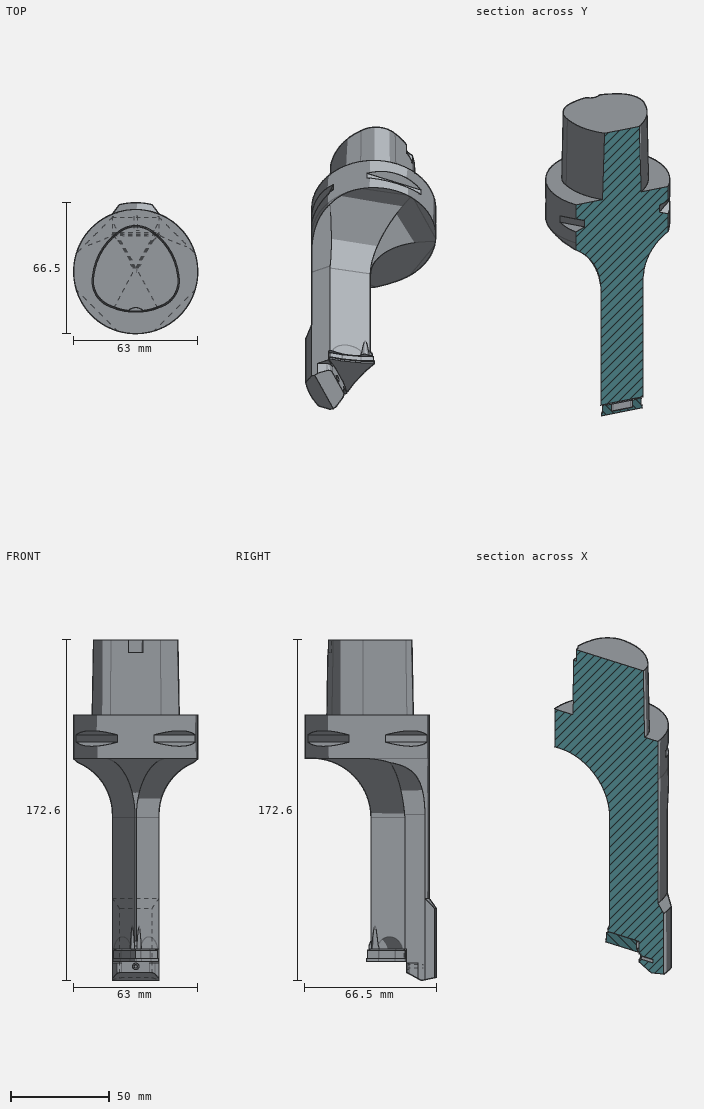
import cadquery as cq
import math


FLANGE_RADIUS = 63 / 2
FLANGE_HEIGHT = 22
TAPER_LENGTH = 38
TAPER_RADIUS = 22
TAPER_ECCENTRICITY = 1.4
FLANK_HALF_SPAN = 25
TAPER_REDUCTION = 0.7
KEYWAY_WIDTH = 7.6
KEYWAY_DEPTH = 1.7
KEYWAY_LENGTH = 6.5
GRIP_SLOT_Z = -12
GRIP_SLOT_FLOOR = 27.8
GRIP_FLOOR_HEIGHT = 3.6
GRIP_WALL_ANGLE = math.radians(30)
GRIP_SLOT_COUNT = 4

SHANK_HALF_WIDTH = 11.85
SHOULDER_Y = 19
RIDGE_Y = 1.8
RIDGE_HALF_WIDTH = 0.3
V_FLARE_RADIUS = 30
SIDE_FLARE_RADIUS = 28.4
SHANK_CORNER_Y = math.sqrt(FLANGE_RADIUS**2 - SHANK_HALF_WIDTH**2)

BOTTOM_Z = TAPER_LENGTH - 172.6
PAD_RADIUS = 35
PAD_HALF_WIDTH = 8.3
PAD_CREST_Y = math.sqrt(PAD_RADIUS**2 - PAD_HALF_WIDTH**2)
PAD_RAMP_START_Z = -93
PAD_RAMP_END_Z = -98
KEEL_Y = 27.4
HEAD_FRONT_BOTTOM_Z = -130.4
HEAD_BACK_BOTTOM_Z = -133
BEVEL_TOP_Z = -125.8
NOZZLE_DIAMETER = 3.3
NOZZLE_DEPTH = 1
NOZZLE_BORE_DIAMETER = 1.7
NOZZLE_BORE_DEPTH = 8
NOZZLE_Z = -127.4

INSERT_TOP_Z = -118.7
INSERT_BOTTOM_Z = -125
LAND_HEIGHT = 1.7
LAND_OVERHANG = 0.4
SEAT_Y = 19.8
INSERT_NOSE_Y = -1.0
INSERT_NOSE_RADIUS = 0.4
INSERT_SIDE_RELIEF = 0.8
INSERT_RELIEF_SPAN = 9.6
INSERT_TOP_CHAMFER = 0.6

V_LENGTH = math.hypot(SHANK_HALF_WIDTH - RIDGE_HALF_WIDTH, SHOULDER_Y - RIDGE_Y)
V_ALONG = ((SHANK_HALF_WIDTH - RIDGE_HALF_WIDTH) / V_LENGTH, (SHOULDER_Y - RIDGE_Y) / V_LENGTH)
V_OUTWARD = (V_ALONG[1], -V_ALONG[0])

SCOOP_Y = 11.3
SCOOP_RADIUS = 8.2
SCOOP_DEPTH = 1.2
SCOOP_TOP_Z = -112.4
NOSE_CONE_TOP_Z = -107
NOSE_CONE_CONTACT_X = 1.7
NOSE_CONE_BASE_RADIUS = 2.95
LIP_TOP_Z = -114.5
LIP_FRONT_Z = -117
LIP_FRONT_Y = 0.8
LIP_WIDTH = 1.2


def cylinder(radius, top, bottom):
    return cq.Workplane("XY").workplane(offset=bottom).circle(radius).extrude(top - bottom)


def polygon_point(degrees, radius, z):
    """Point of a three-lobed curve of constant width where its normal has the given angle."""
    angle = math.radians(degrees)
    phase = 3 * (angle - math.pi / 2)
    support = radius + TAPER_ECCENTRICITY * math.cos(phase)
    slope = -3 * TAPER_ECCENTRICITY * math.sin(phase)
    return cq.Vector(
        support * math.cos(angle) - slope * math.sin(angle),
        support * math.sin(angle) + slope * math.cos(angle),
        z,
    )


def polygon_wire(radius, z):
    """Three flat flank arcs and three tight lobe arcs; one lobe points towards +Y."""
    arcs = []
    for flank in (-90, 30, 150):
        lobe = flank + 60
        for middle, half_span in ((flank, FLANK_HALF_SPAN), (lobe, 60 - FLANK_HALF_SPAN)):
            arcs.append(cq.Edge.makeThreePointArc(
                polygon_point(middle - half_span, radius, z),
                polygon_point(middle, radius, z),
                polygon_point(middle + half_span, radius, z),
            ))
    return cq.Wire.assembleEdges(arcs)


def taper_coupling():
    tip_radius = TAPER_RADIUS - TAPER_REDUCTION
    taper = cq.Workplane(
        cq.Solid.makeLoft([polygon_wire(TAPER_RADIUS, 0), polygon_wire(tip_radius, TAPER_LENGTH)], True)
    )
    keyway_radius = (KEYWAY_WIDTH**2 / 4 + KEYWAY_DEPTH**2) / (2 * KEYWAY_DEPTH)
    keyway_center_y = -(tip_radius - TAPER_ECCENTRICITY) + KEYWAY_DEPTH - keyway_radius
    keyway = cylinder(keyway_radius, TAPER_LENGTH, TAPER_LENGTH - KEYWAY_LENGTH)
    return taper.cut(keyway.translate((0, keyway_center_y, 0)))


def grip_slot():
    """Tangential groove with sloped walls, on the +X side."""
    depth = FLANGE_RADIUS - GRIP_SLOT_FLOOR
    floor_half = GRIP_FLOOR_HEIGHT / 2
    mouth_half = floor_half + depth * math.tan(GRIP_WALL_ANGLE)
    return (
        cq.Workplane("XZ")
        .polyline([
            (GRIP_SLOT_FLOOR, GRIP_SLOT_Z - floor_half),
            (FLANGE_RADIUS, GRIP_SLOT_Z - mouth_half),
            (FLANGE_RADIUS, GRIP_SLOT_Z + mouth_half),
            (GRIP_SLOT_FLOOR, GRIP_SLOT_Z + floor_half),
        ])
        .close()
        .extrude(FLANGE_RADIUS, both=True)
    )


def flange():
    disc = cylinder(FLANGE_RADIUS, 0, -FLANGE_HEIGHT)
    for i in range(GRIP_SLOT_COUNT):
        angle = (i + 0.5) * 360 / GRIP_SLOT_COUNT
        disc = disc.cut(grip_slot().rotate((0, 0, 0), (0, 0, 1), angle))
    return disc


def face_cutter(point, outward, flare_radius):
    """Everything outside one shank face, leaving a concave flare under the flange."""
    reach = 3 * FLANGE_RADIUS
    flare_start_z = -FLANGE_HEIGHT - flare_radius
    diagonal = flare_radius * math.sqrt(0.5)
    plane = cq.Plane(origin=(*point, 0), xDir=(*outward, 0), normal=(outward[1], -outward[0], 0))
    return (
        cq.Workplane(plane)
        .moveTo(0, BOTTOM_Z)
        .lineTo(0, flare_start_z)
        .threePointArc(
            (flare_radius - diagonal, flare_start_z + diagonal),
            (flare_radius, -FLANGE_HEIGHT),
        )
        .lineTo(reach, -FLANGE_HEIGHT)
        .lineTo(reach, BOTTOM_Z)
        .close()
        .extrude(reach, both=True)
    )


def shank():
    stem = cylinder(FLANGE_RADIUS, -FLANGE_HEIGHT, BOTTOM_Z)
    stem = stem.cut(face_cutter((0, RIDGE_Y), (0, -1), V_FLARE_RADIUS))
    for side in (-1, 1):
        shoulder = (side * SHANK_HALF_WIDTH, SHOULDER_Y)
        stem = stem.cut(face_cutter(shoulder, (side * V_OUTWARD[0], V_OUTWARD[1]), V_FLARE_RADIUS))
        stem = stem.cut(face_cutter(shoulder, (side, 0), SIDE_FLARE_RADIUS))
    return stem


def back_pad():
    """Thickened back of the head, with a conical ramp at its upper end."""
    outline = (
        cq.Workplane("XY")
        .workplane(offset=BOTTOM_Z)
        .moveTo(-SHANK_HALF_WIDTH, SHOULDER_Y)
        .lineTo(-SHANK_HALF_WIDTH, SHANK_CORNER_Y)
        .lineTo(-PAD_HALF_WIDTH, PAD_CREST_Y)
        .threePointArc((0, PAD_RADIUS), (PAD_HALF_WIDTH, PAD_CREST_Y))
        .lineTo(SHANK_HALF_WIDTH, SHANK_CORNER_Y)
        .lineTo(SHANK_HALF_WIDTH, SHOULDER_Y)
        .close()
        .extrude(PAD_RAMP_START_Z - BOTTOM_Z)
    )
    ramped_disc = (
        cq.Workplane("XZ")
        .polyline([
            (0, BOTTOM_Z),
            (PAD_RADIUS, BOTTOM_Z),
            (PAD_RADIUS, PAD_RAMP_END_Z),
            (FLANGE_RADIUS, PAD_RAMP_START_Z),
            (0, PAD_RAMP_START_Z),
        ])
        .close()
        .revolve(360, (0, 0), (0, 1))
    )
    return outline.intersect(ramped_disc)


def seat_cutter():
    """Open space for the insert, in front of the seat wall."""
    width = 2 * FLANGE_RADIUS
    return (
        cq.Workplane("XY")
        .box(width, FLANGE_RADIUS, INSERT_TOP_Z - BOTTOM_Z, centered=(True, False, False))
        .translate((0, SEAT_Y - FLANGE_RADIUS, BOTTOM_Z))
    )


def head_bottom_cutter():
    """Space under the two slopes that meet at the keel."""
    below = BOTTOM_Z - 1
    return (
        cq.Workplane("YZ")
        .polyline([
            (SEAT_Y, HEAD_FRONT_BOTTOM_Z),
            (KEEL_Y, BOTTOM_Z),
            (PAD_RADIUS, HEAD_BACK_BOTTOM_Z),
            (PAD_RADIUS, below),
            (SEAT_Y, below),
        ])
        .close()
        .extrude(FLANGE_RADIUS, both=True)
    )


def head_corner_cutter(side):
    """Rounded-off bevel on a front corner of the head, below the insert."""
    front_half_width = 7.1
    round_end_half_width = 9.8
    round_end_y = 21.4
    back_y = 25.8
    clearance = 1
    return (
        cq.Workplane("XY")
        .workplane(offset=BOTTOM_Z)
        .moveTo(0, SEAT_Y)
        .lineTo(side * front_half_width, SEAT_Y)
        .tangentArcPoint((side * round_end_half_width, round_end_y), relative=False)
        .lineTo(side * SHANK_HALF_WIDTH, back_y)
        .lineTo(side * SHANK_HALF_WIDTH, SEAT_Y - clearance)
        .lineTo(0, SEAT_Y - clearance)
        .close()
        .extrude(BEVEL_TOP_Z - BOTTOM_Z)
    )


def scoop(side):
    """Shallow spherical hollow in a V face above the insert."""
    ball_radius = (SCOOP_RADIUS**2 + SCOOP_DEPTH**2) / (2 * SCOOP_DEPTH)
    along = (SCOOP_Y - RIDGE_Y) / V_ALONG[1]
    lift = ball_radius - SCOOP_DEPTH
    center_x = RIDGE_HALF_WIDTH + along * V_ALONG[0] + lift * V_OUTWARD[0]
    center_y = SCOOP_Y + lift * V_OUTWARD[1]
    ball = cq.Workplane("XY").sphere(ball_radius)
    return ball.translate((side * center_x, center_y, SCOOP_TOP_Z - SCOOP_RADIUS))


def nose_cone():
    """Cone that starts tangent to both V faces and swells through them downward."""
    contact_along = (NOSE_CONE_CONTACT_X - RIDGE_HALF_WIDTH) / V_ALONG[0]
    contact_y = RIDGE_Y + contact_along * V_ALONG[1]
    top_radius = NOSE_CONE_CONTACT_X / V_OUTWARD[0]
    center_y = contact_y - top_radius * V_OUTWARD[1]
    height = NOSE_CONE_TOP_Z - INSERT_TOP_Z
    return cq.Workplane(
        cq.Solid.makeCone(NOSE_CONE_BASE_RADIUS, top_radius, height, cq.Vector(0, center_y, INSERT_TOP_Z))
    )


def nose_lip():
    """Small wedge on the ridge that backs the insert nose."""
    root_y = RIDGE_Y + LIP_WIDTH
    return (
        cq.Workplane("YZ")
        .polyline([
            (root_y, LIP_TOP_Z),
            (RIDGE_Y, LIP_TOP_Z),
            (LIP_FRONT_Y, LIP_FRONT_Z),
            (LIP_FRONT_Y, INSERT_TOP_Z),
            (root_y, INSERT_TOP_Z),
        ])
        .close()
        .extrude(LIP_WIDTH / 2, both=True)
    )


def nozzle_hole():
    """Narrow bore with a wider, shallow mouth in the front of the head."""
    return (
        cq.Workplane("XZ", origin=(0, SEAT_Y, NOZZLE_Z))
        .circle(NOZZLE_DIAMETER / 2)
        .extrude(-NOZZLE_DEPTH)
        .circle(NOZZLE_BORE_DIAMETER / 2)
        .extrude(-NOZZLE_BORE_DEPTH)
    )


def make_holder():
    body = shank().union(back_pad())
    for side in (-1, 1):
        body = body.cut(scoop(side))
    body = body.union(nose_cone()).union(nose_lip())
    body = body.cut(seat_cutter()).cut(head_bottom_cutter())
    for side in (-1, 1):
        body = body.cut(head_corner_cutter(side))
    body = body.cut(nozzle_hole())
    return body.union(flange()).union(taper_coupling())


def insert_outline():
    """Equilateral triangle with hollowed sides, its nose towards -Y."""
    height = SEAT_Y - INSERT_NOSE_Y
    side_length = height / math.cos(math.radians(30))
    center_y = SEAT_Y - height / 3
    inner_distance = height / 3 - INSERT_SIDE_RELIEF
    points = []
    for i in range(3):
        turn = math.radians(120 * i)
        for x, y in (
            (-side_length / 2, -height / 3),
            (-INSERT_RELIEF_SPAN / 2, -inner_distance),
            (INSERT_RELIEF_SPAN / 2, -inner_distance),
        ):
            angle = turn + math.pi
            points.append((
                x * math.cos(angle) - y * math.sin(angle),
                center_y + x * math.sin(angle) + y * math.cos(angle),
            ))
    return cq.Sketch().polygon(points + points[:1]).vertices().fillet(INSERT_NOSE_RADIUS)


def make_insert():
    """Triangular insert: a wide cutting land at the bottom, a chamfered core above it."""
    land_top_z = INSERT_BOTTOM_Z + LAND_HEIGHT
    outline = insert_outline()
    land = cq.Workplane("XY").workplane(offset=INSERT_BOTTOM_Z).placeSketch(outline).extrude(LAND_HEIGHT)
    core_wire = land.faces(">Z").wires().val().offset2D(-LAND_OVERHANG)[0]
    core = (
        cq.Workplane("XY", origin=(0, 0, land_top_z))
        .add(core_wire)
        .toPending()
        .extrude(INSERT_TOP_Z - land_top_z)
        .faces(">Z")
        .chamfer(INSERT_TOP_CHAMFER)
    )
    return land.union(core)


holder = make_holder()
insert = make_insert()
result = cq.Compound.makeCompound([holder.val(), insert.val()])